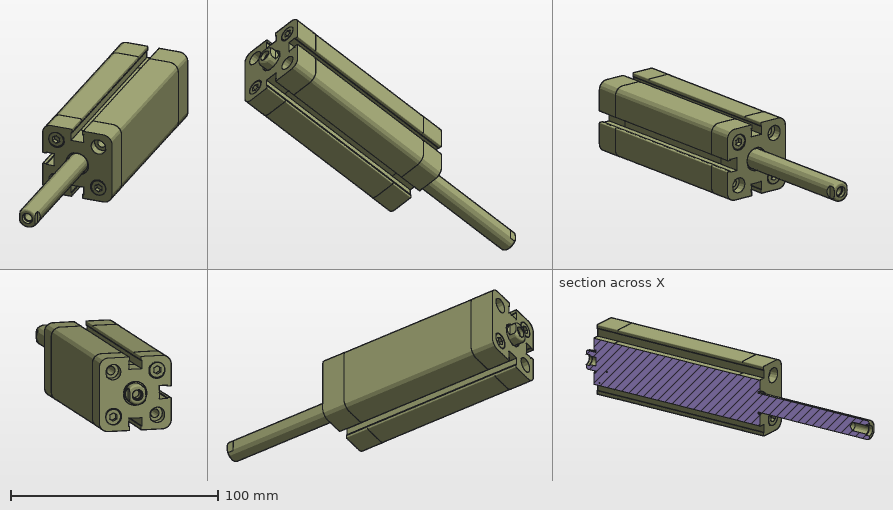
import cadquery as cq
import math


cap_side = 36.1
tube_side = 36.0
corner_radius = 4.5
housing_length = 98.0
cap_length = 12.3
front_y = -housing_length / 2
back_y = housing_length / 2

slot_mouth_width = 5.6
slot_channel_width = 6.5
slot_lip_depth = 2.0
slot_depth = 6.05
slot_edge_radius = 0.5
slot_angles = (0, 90, 180)

total_length = 167.0
rod_diameter = 10.0
rod_back_length = 4.5
rod_front_y = back_y + rod_back_length - total_length
rod_back_y = back_y + rod_back_length
rod_end_radius = 1.25
flats_width = 8.0
flats_length = 3.4
thread_core_diameter = 4.13
thread_mouth_diameter = 5.25
thread_mouth_depth = 2.0
thread_depth = 10.0
drill_point_angle = 118.0

bearing_bore_diameter = 11.6
bearing_bore_depth = 1.0

fixing_offset = 11.0
through_hole_diameter = 4.13
counterbore_diameter = 7.5
counterbore_depth = 4.4
screw_hole_diameter = 8.0
screw_hole_depth = 1.0
screw_hole_shift = 0.14
screw_head_diameter = 7.5
hex_across_flats = 3.5
hex_depth = 2.5


def xz_plane(y):
    """Plane at height y along the axis: local x is X, local y is Z, normal is -Y."""
    return cq.Workplane("XZ", origin=(0, y, 0))


def cylinder(diameter, y_start, y_end, x=0, z=0):
    return xz_plane(y_end).center(x, z).circle(diameter / 2).extrude(y_end - y_start)


def slot_cutter(face_z, y_start, y_end):
    """Slot below a top face at height face_z, with convex rounded mouth edges."""
    mouth = slot_mouth_width / 2
    channel = slot_channel_width / 2
    rim = mouth + slot_edge_radius
    lip_z = face_z - slot_lip_depth
    floor_z = face_z - slot_depth
    rim_z = face_z - slot_edge_radius
    bulge = slot_edge_radius * (1 - math.sqrt(0.5))
    return (
        xz_plane(y_end)
        .moveTo(-rim, face_z)
        .threePointArc((-mouth - bulge, face_z - bulge), (-mouth, rim_z))
        .lineTo(-mouth, lip_z)
        .lineTo(-channel, lip_z)
        .lineTo(-channel, floor_z)
        .lineTo(channel, floor_z)
        .lineTo(channel, lip_z)
        .lineTo(mouth, lip_z)
        .lineTo(mouth, rim_z)
        .threePointArc((mouth + bulge, face_z - bulge), (rim, face_z))
        .close()
        .extrude(y_end - y_start)
    )


def slotted_bar(side, y_start, y_end):
    """Square bar with rounded corners and a sensor slot along three of its faces."""
    bar = xz_plane(y_end).rect(side, side).extrude(y_end - y_start)
    bar = bar.edges("|Y").fillet(corner_radius)
    slot = slot_cutter(side / 2, y_start, y_end)
    for angle in slot_angles:
        bar = bar.cut(slot.rotate((0, 0, 0), (0, 1, 0), -angle))
    return bar


def mirrored_ends(tool):
    """A front-end tool together with its mirror image at the back cap."""
    return tool.union(tool.mirror("XZ"))


def make_housing():
    tube = slotted_bar(tube_side, front_y + cap_length, back_y - cap_length)
    front_cap = slotted_bar(cap_side, front_y, front_y + cap_length)
    return tube.union(mirrored_ends(front_cap))


def cut_fixing_hole(body, x, z):
    through = cylinder(through_hole_diameter, front_y, back_y, x, z)
    counterbore = cylinder(counterbore_diameter, front_y, front_y + counterbore_depth, x, z)
    return body.cut(through).cut(mirrored_ends(counterbore))


def fit_screw(body, x, z):
    shift_x = -math.copysign(screw_hole_shift, x)
    shift_z = -math.copysign(screw_hole_shift, z)
    hole_floor = front_y + screw_hole_depth
    hole = cylinder(screw_hole_diameter, front_y, hole_floor, x + shift_x, z + shift_z)
    head = cylinder(screw_head_diameter, front_y, hole_floor, x, z)
    socket = (
        xz_plane(front_y + hex_depth)
        .center(x, z)
        .transformed(rotate=(0, 0, 90))
        .polygon(6, hex_across_flats / math.cos(math.pi / 6))
        .extrude(hex_depth)
    )
    recess = mirrored_ends(hole.cut(head).union(socket))
    return body.cut(recess)


def rod_end_flat(side):
    """Cutter for one wrench flat at the front end, with a 45 degree run-out onto the rod."""
    flat_x = flats_width / 2
    rod_radius = rod_diameter / 2
    flat_end = rod_front_y + flats_length
    run_out_end = flat_end + rod_radius - flat_x
    return (
        cq.Workplane("XY", origin=(0, 0, -rod_radius))
        .moveTo(side * flat_x, rod_front_y)
        .lineTo(side * flat_x, flat_end)
        .lineTo(side * rod_radius, run_out_end)
        .lineTo(side * rod_radius, rod_front_y)
        .close()
        .extrude(rod_diameter)
    )


def thread_hole():
    """Blind tapped hole in the front rod end, with a wider mouth and a drill point."""
    core = thread_core_diameter / 2
    mouth = thread_mouth_diameter / 2
    point = core / math.tan(math.radians(drill_point_angle / 2))
    mouth_floor_y = rod_front_y + thread_mouth_depth
    floor_y = rod_front_y + thread_depth
    return (
        cq.Workplane("XY")
        .moveTo(0, rod_front_y)
        .lineTo(mouth, rod_front_y)
        .lineTo(mouth, mouth_floor_y)
        .lineTo(core, mouth_floor_y)
        .lineTo(core, floor_y)
        .lineTo(0, floor_y + point)
        .close()
        .revolve(360, (0, 0, 0), (0, 1, 0))
    )


def make_rod():
    rod = cylinder(rod_diameter, rod_front_y, rod_back_y)
    rod = rod.faces("<Y or >Y").edges().fillet(rod_end_radius)
    rod_middle = (rod_front_y + rod_back_y) / 2
    front_tools = rod_end_flat(1).union(rod_end_flat(-1)).union(thread_hole())
    back_tools = front_tools.mirror("XZ", (0, rod_middle, 0))
    return rod.cut(front_tools).cut(back_tools)


housing = make_housing()
for sign in (1, -1):
    housing = cut_fixing_hole(housing, sign * fixing_offset, sign * fixing_offset)
    housing = fit_screw(housing, sign * fixing_offset, -sign * fixing_offset)
bearing_bore = cylinder(bearing_bore_diameter, front_y, front_y + bearing_bore_depth)
housing = housing.cut(mirrored_ends(bearing_bore))

result = housing.union(make_rod())